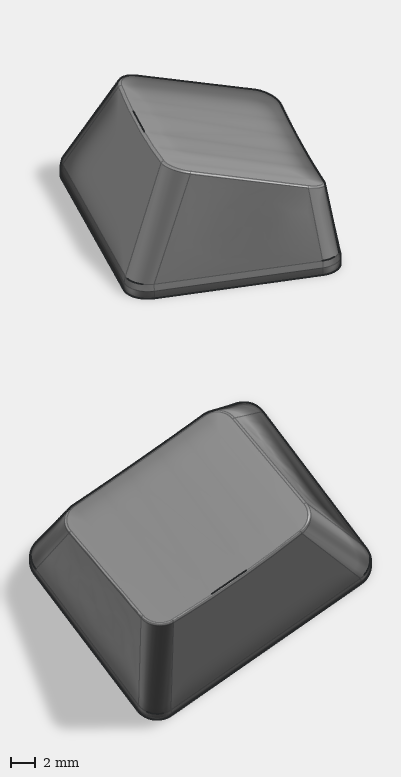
import cadquery as cq
import math

base_width = 22.92
base_depth = 18.15
corner_radius = 2.0
skirt_height = 0.7
band_top = 1.28
band_inset = 0.11

top_width = 16.4
front_y = -4.95
front_z = 9.95
back_y = 8.57
back_z = 6.05
top_corner_radius = 1.93

dish_radius = 65.32
top_edge_fillet = 0.23

top_rise = back_z - front_z
top_run = back_y - front_y
top_depth = math.hypot(top_run, top_rise)
slope = math.atan2(top_rise, top_run)
top_centre = (0, (front_y + back_y) / 2, (front_z + back_z) / 2)
top_plane = cq.Plane(
    origin=top_centre, xDir=(1, 0, 0), normal=(0, -math.sin(slope), math.cos(slope))
)


def rounded_rectangle(width, depth, radius):
    return cq.Sketch().rect(width, depth).vertices().fillet(radius)


def make_skirt():
    outline = rounded_rectangle(base_width, base_depth, corner_radius)
    return cq.Workplane("XY").placeSketch(outline).extrude(skirt_height)


def make_tapered_body():
    """Narrow leaning band above the skirt, then walls that lean in to the sloping top."""
    band_radius = corner_radius - band_inset
    lower = rounded_rectangle(base_width, base_depth, corner_radius)
    middle = rounded_rectangle(base_width - 2 * band_inset, base_depth - 2 * band_inset, band_radius)
    upper = rounded_rectangle(top_width, top_depth, top_corner_radius)
    lower = lower.moved(cq.Location(cq.Vector(0, 0, skirt_height)))
    middle = middle.moved(cq.Location(cq.Vector(0, 0, band_top)))
    upper = upper.moved(cq.Location(top_plane))
    return cq.Workplane("XY").placeSketch(lower, middle, upper).loft(ruled=True)


def make_dish():
    """Cylinder along the slope that passes through both side edges of the top."""
    axis_height = math.sqrt(dish_radius**2 - (top_width / 2) ** 2)
    axis_plane = cq.Plane(
        origin=top_plane.toWorldCoords((0, 0, axis_height)).toTuple(),
        xDir=(1, 0, 0),
        normal=top_plane.yDir.toTuple(),
    )
    return cq.Workplane(axis_plane).circle(dish_radius).extrude(base_depth, both=True)


body = make_skirt().union(make_tapered_body())
body = body.cut(make_dish())
result = body.faces(cq.selectors.NearestToPointSelector(top_centre)).edges().fillet(top_edge_fillet)